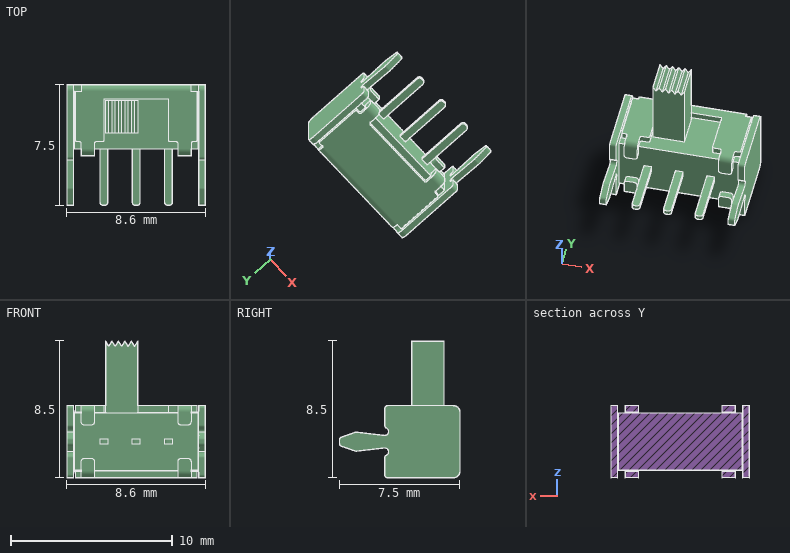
import cadquery as cq
import math


shell_width = 8.6
shell_height = 4.5
sheet = 0.42
side_depth = 4.69
overall_depth = 7.5
corner_radius = 0.2
mid_z = shell_height / 2
inner_half_width = shell_width / 2 - sheet

plate_width = 7.57
plate_depth = 3.54
plate_corner_radius = 0.1
window_width = 4.0
window_back = 0.89

bend_width = 6.81
relief_depth = 0.49

tab_width = 0.83
tab_offset = 3.0
tab_height = 1.2

lug_widest_half = 0.6
lug_widest_depth = 6.48
lug_tip_half = 0.24
notch_radius = 0.23
notch_depth = 4.68
notch_offset = 0.63

body_width = 7.69
body_depth = 4.0
body_top_gap = 0.035
body_bottom_gap = 0.05
body_height = shell_height - 2 * sheet - body_top_gap - body_bottom_gap

lever_size = 2.0
lever_center_x = -0.9
lever_back = 1.0
lever_top = 8.5
tooth_count = 5
tooth_depth = 0.32

pin_pitch = 2.0
pin_width = 0.5
pin_thickness = 0.32
pin_tip_radius = 0.2


def block(x_min, x_max, depth_min, depth_max, z_min, z_max):
    """Box between two X values, two distances from the back and two heights."""
    size = (x_max - x_min, depth_max - depth_min, z_max - z_min)
    return cq.Workplane("XY").box(*size, centered=False).translate((x_min, -depth_max, z_min))


def zone(x_min, x_max, depth_min, depth_max, z_min, z_max):
    """Selector for what lies inside the given limits, widened by a small margin."""
    margin = 0.04
    return cq.selectors.BoxSelector(
        (x_min - margin, -depth_max - margin, z_min - margin),
        (x_max + margin, -depth_min + margin, z_max + margin),
    )


def flip(shape):
    """Mirror a shape about mid height, so that a top feature becomes a bottom one."""
    return shape.mirror("XY", (0, 0, mid_z))


def lug_edge_start():
    """Point (depth, height above middle) where the lug edge is tangent to the notch arc."""
    run = lug_widest_depth - notch_depth
    rise = lug_widest_half - notch_offset
    angle = math.atan2(rise, run) - math.acos(notch_radius / math.hypot(run, rise))
    return (
        notch_depth + notch_radius * math.cos(angle),
        notch_offset + notch_radius * math.sin(angle),
    )


def side_plate(x_min):
    """Side plate with a tapered lug; a notch flows into the plate edge on each side of it."""
    edge_center_depth = side_depth - corner_radius
    center_step = notch_depth - edge_center_depth
    center_distance = notch_radius + corner_radius
    edge_center = notch_offset + math.sqrt(center_distance ** 2 - center_step ** 2)
    touch_angle = math.atan2(notch_offset - edge_center, center_step)

    def on_edge_rounding(angle):
        return (
            edge_center_depth + corner_radius * math.cos(angle),
            edge_center + corner_radius * math.sin(angle),
        )

    touch = on_edge_rounding(touch_angle)
    edge_mid = on_edge_rounding(touch_angle / 2)
    notch_bottom = (notch_depth - notch_radius, notch_offset)
    lug_start = lug_edge_start()

    def at(point, side):
        return (-point[0], mid_z + side * point[1])

    plate = (
        cq.Workplane("YZ", origin=(x_min, 0, 0))
        .moveTo(0, 0)
        .lineTo(0, shell_height)
        .lineTo(-side_depth, shell_height)
        .lineTo(*at((side_depth, edge_center), 1))
        .threePointArc(at(edge_mid, 1), at(touch, 1))
        .threePointArc(at(notch_bottom, 1), at(lug_start, 1))
        .lineTo(*at((lug_widest_depth, lug_widest_half), 1))
        .lineTo(*at((overall_depth, lug_tip_half), 1))
        .lineTo(*at((overall_depth, lug_tip_half), -1))
        .lineTo(*at((lug_widest_depth, lug_widest_half), -1))
        .lineTo(*at(lug_start, -1))
        .threePointArc(at(notch_bottom, -1), at(touch, -1))
        .threePointArc(at(edge_mid, -1), at((side_depth, edge_center), -1))
        .lineTo(-side_depth, 0)
        .close()
        .extrude(sheet)
    )

    x_max = x_min + sheet
    lug_zone = zone(x_min, x_max, lug_widest_depth, overall_depth, 0, shell_height)
    lower_corner = zone(x_min, x_max, side_depth, side_depth, 0, 0)
    upper_corner = zone(x_min, x_max, side_depth, side_depth, shell_height, shell_height)
    rounded = lug_zone + lower_corner + upper_corner
    plate = plate.edges("|X").edges(rounded).fillet(corner_radius)
    return plate.edges("|X and >Y").fillet(sheet)


def back_plate():
    """Back of the shell with bent upper and lower edges and a relief at each end of a bend."""
    half = inner_half_width
    plate = block(-half, half, 0, side_depth, 0, shell_height).edges("|X and >Y").fillet(sheet)
    plate = plate.cut(block(-half, half, sheet, side_depth, 0, shell_height))
    for side in (-1, 1):
        ends = sorted((side * bend_width / 2, side * half))
        relief = block(*ends, 0, sheet, shell_height - relief_depth, shell_height)
        outer_edge = "<X" if side < 0 else ">X"
        relief = relief.edges("|Y and <Z").edges(outer_edge).fillet(corner_radius)
        plate = plate.cut(relief).cut(flip(relief))
    return plate


def tab(center_x):
    """Tab that leaves the top plate, bends down and ends against the front of the body."""
    half = tab_width / 2
    front = body_depth + sheet
    sheet_top = shell_height - sheet
    arm = block(center_x - half, center_x + half, plate_depth, front, sheet_top, shell_height)
    drop = block(
        center_x - half, center_x + half, body_depth, front, shell_height - tab_height, shell_height
    )
    folded = arm.union(drop).edges("|X and >Z and <Y").fillet(sheet)
    return folded.edges("|Y and <Z").fillet(corner_radius)


def cover(has_window):
    """Top plate with its two tabs, optionally open around the lever."""
    half = plate_width / 2
    window_half = window_width / 2
    sheet_top = shell_height - sheet
    plate = block(-half, half, sheet, plate_depth, sheet_top, shell_height)
    if has_window:
        window = block(
            -window_half, window_half, window_back, plate_depth, sheet_top, shell_height
        )
        plate = plate.cut(window)
    plate = plate.edges("|Z and <Y").fillet(plate_corner_radius)
    for center_x in (-tab_offset, tab_offset):
        plate = plate.union(tab(center_x))
        for side in (-1, 1):
            plate = plate.union(tab_root_fillet(center_x, side))
    return plate


def tab_root_fillet(center_x, side):
    """Rounded inside corner between a tab and the front edge of its plate."""
    radius = plate_corner_radius
    root_x = center_x + side * tab_width / 2
    ends = sorted((root_x, root_x + side * radius))
    sheet_top = shell_height - sheet
    corner = block(*ends, plate_depth, plate_depth + radius, sheet_top, shell_height)
    rounding = (
        cq.Workplane("XY", origin=(root_x + side * radius, -plate_depth - radius, sheet_top))
        .circle(radius)
        .extrude(sheet)
    )
    return corner.cut(rounding)


def body():
    half = body_width / 2
    z_min = sheet + body_bottom_gap
    return block(-half, half, sheet, body_depth, z_min, z_min + body_height)


def lever():
    """Square lever standing on the body, with V grooves across its top."""
    left = lever_center_x - lever_size / 2
    body_top = shell_height - sheet - body_top_gap
    pitch = lever_size / tooth_count
    outline = [(left, body_top), (left, lever_top)]
    for tooth in range(tooth_count):
        outline.append((left + (tooth + 0.5) * pitch, lever_top - tooth_depth))
        outline.append((left + (tooth + 1) * pitch, lever_top))
    outline.append((left + lever_size, body_top))
    return (
        cq.Workplane("XZ", origin=(0, -lever_back, 0)).polyline(outline).close().extrude(lever_size)
    )


def pin(center_x):
    half = pin_width / 2
    half_thickness = pin_thickness / 2
    bar = block(
        center_x - half, center_x + half, body_depth, overall_depth,
        mid_z - half_thickness, mid_z + half_thickness,
    )
    return bar.edges("|Z and <Y").fillet(pin_tip_radius)


result = back_plate().union(side_plate(-shell_width / 2)).union(side_plate(inner_half_width))
result = result.union(cover(True)).union(flip(cover(False)))
result = result.union(body()).union(lever())
for pin_index in (-1, 0, 1):
    result = result.union(pin(pin_index * pin_pitch))